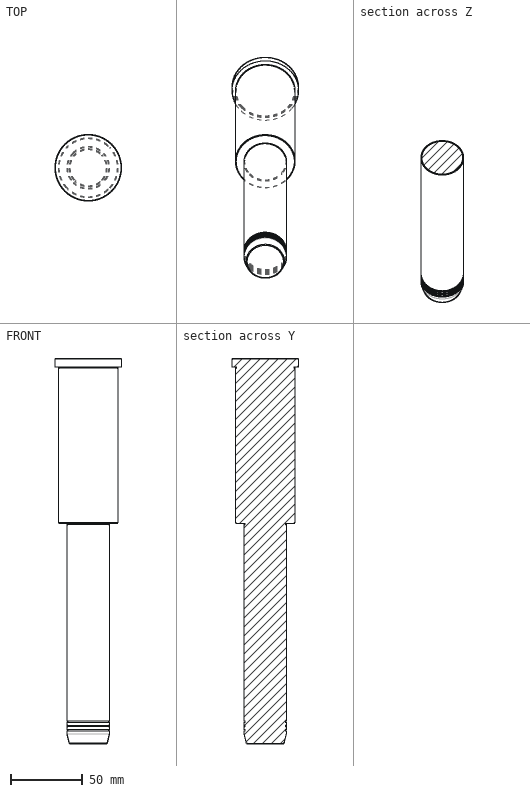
import cadquery as cq

total_length = 271.0
flange_diameter = 47.0
body_diameter = 42.0
rod_diameter = 30.0

flange_height = 6.0
head_length = 116.0
nose_length = 7.0

nose_end_diameter = 26.5

flange_chamfer = 0.4
body_chamfer = 0.5
tip_chamfer = 0.5

relief_width = 0.8
relief_depth = 0.5

groove_width = 0.8
groove_depth = 0.5
groove_pitch = 3.0
groove_count = 3

body_bottom = total_length - head_length
flange_bottom = total_length - flange_height


def cylinder(diameter, bottom, top):
    """Vertical cylinder on the Z axis between two heights."""
    return cq.Workplane("XY").workplane(offset=bottom).circle(diameter / 2).extrude(top - bottom)


def ring(outer_diameter, depth, top, width):
    """Shallow ring, hanging down from the height top, to be cut from a cylinder."""
    bottom = top - width
    core = cylinder(outer_diameter - 2 * depth, bottom, top)
    return cylinder(outer_diameter, bottom, top).cut(core)


def make_nose():
    """Cone that widens from the tip at Z = 0 up to the rod diameter."""
    cone = (
        cq.Workplane("XY")
        .circle(nose_end_diameter / 2)
        .workplane(offset=nose_length)
        .circle(rod_diameter / 2)
        .loft(ruled=True)
    )
    return cone.faces("<Z").chamfer(tip_chamfer)


def make_rod():
    """Long pin with its ring grooves and the relief under the body."""
    rod = cylinder(rod_diameter, nose_length, body_bottom)
    for index in range(groove_count):
        groove_top = nose_length + (index + 1) * groove_pitch
        rod = rod.cut(ring(rod_diameter, groove_depth, groove_top, groove_width))
    return rod.cut(ring(rod_diameter, relief_depth, body_bottom, relief_width))


def make_body():
    """Thick upper cylinder with the relief under the flange."""
    body = cylinder(body_diameter, body_bottom, flange_bottom)
    body = body.faces("<Z").chamfer(body_chamfer)
    return body.cut(ring(body_diameter, relief_depth, flange_bottom, relief_width))


def make_flange():
    """Top disc with a chamfered upper edge."""
    flange = cylinder(flange_diameter, flange_bottom, total_length)
    return flange.faces(">Z").chamfer(flange_chamfer)


result = make_nose().union(make_rod()).union(make_body()).union(make_flange())